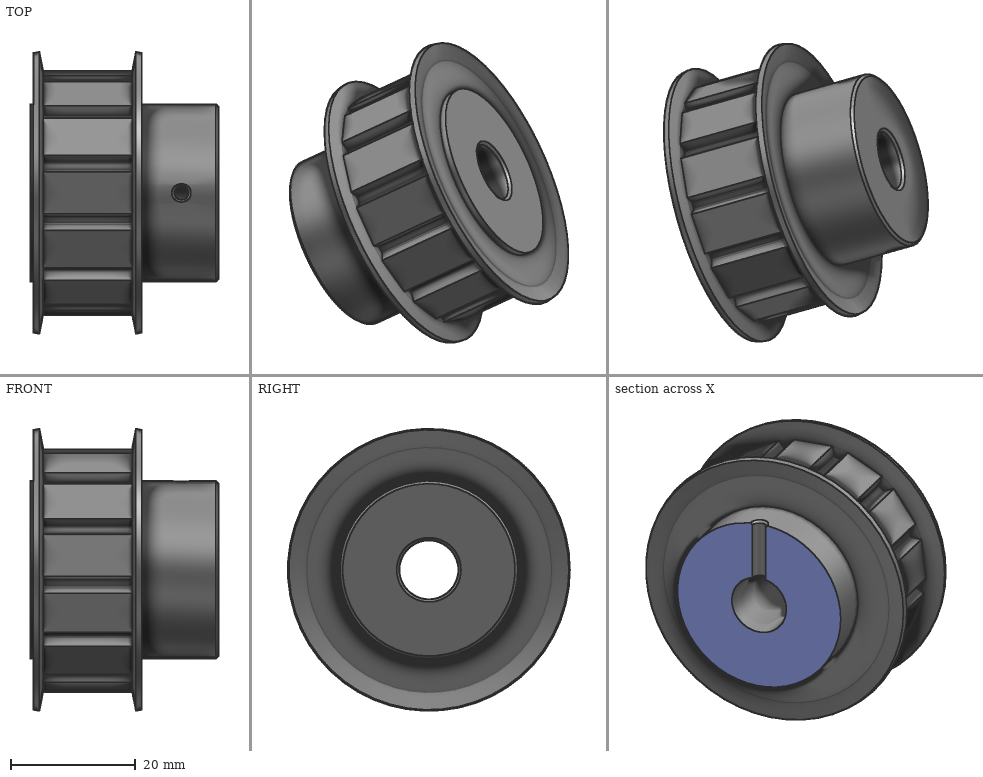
import cadquery as cq
import math

total_length = 30.18
tooth_start = 2.05
tooth_width = 14.3
tooth_end = tooth_start + tooth_width

hub_radius = 14.25
hub_chamfer = 0.45
bore_radius = 4.7
bore_chamfer = 0.45

tooth_count = 13
tip_corner_radius = 19.65
groove_floor_radius = 17.9
groove_floor_half_width = 0.6
groove_flank_angle = 25.0
groove_fillet = 0.295

flange_radius = 22.6
flange_thickness = 1.0
bend_radius = 19.65
bend_angle = 11.0

screw_x = 24.2
screw_hole_radius = 1.15
screw_countersink_radius = 1.55


def cylinder_x(start, end, radius):
    """Cylinder around the X axis between two X positions."""
    return cq.Workplane("YZ", origin=(start, 0, 0)).circle(radius).extrude(end - start)


def revolve_x(points):
    """Turn a closed (x, radius) outline around the X axis."""
    return cq.Workplane("XY").polyline(points).close().revolve(360, (0, 0, 0), (1, 0, 0))


def make_hub():
    """Full-length core, bevelled at its hub end."""
    core = cylinder_x(0, total_length, hub_radius)
    return core.faces(">X").chamfer(hub_chamfer)


def make_toothed_rim():
    """Polygonal rim with one flat per tooth and a rounded-floor groove between teeth."""
    flank_slope = math.tan(math.radians(groove_flank_angle))
    pitch_angle = 360 / tooth_count

    corner_half_width = groove_floor_half_width + (tip_corner_radius - groove_floor_radius) * flank_slope
    groove_half_angle = math.degrees(math.asin(corner_half_width / tip_corner_radius))
    tooth_half_angle = pitch_angle / 2 - groove_half_angle

    corners = []
    for tooth in range(tooth_count):
        for side in (-1, 1):
            angle = math.radians(90 + tooth * pitch_angle + side * tooth_half_angle)
            corners.append((tip_corner_radius * math.cos(angle), tip_corner_radius * math.sin(angle)))
    rim = cq.Workplane("YZ", origin=(tooth_start, 0, 0)).polyline(corners).close().extrude(tooth_width)

    cutter_top = flange_radius
    top_half_width = groove_floor_half_width + (cutter_top - groove_floor_radius) * flank_slope
    cutter = (
        cq.Workplane("YZ", origin=(tooth_start, 0, 0))
        .polyline([
            (-groove_floor_half_width, groove_floor_radius),
            (groove_floor_half_width, groove_floor_radius),
            (top_half_width, cutter_top),
            (-top_half_width, cutter_top),
        ])
        .close()
        .extrude(tooth_width)
        .edges("|X and <Z")
        .fillet(groove_fillet)
    )
    for groove in range(tooth_count):
        rim = rim.cut(cutter.rotate((0, 0, 0), (1, 0, 0), (groove + 0.5) * pitch_angle))
    return rim


def make_flange(inner_face, outward):
    """Bent disc; inner_face is its X on the tooth side, outward is -1 or +1 along X."""
    bend = math.radians(bend_angle)
    outer_face = inner_face + outward * flange_thickness
    rim_inner_x = inner_face + outward * (flange_radius - bend_radius) * math.tan(bend)
    rim_outer_x = rim_inner_x + outward * flange_thickness * math.cos(bend)
    rim_outer_radius = flange_radius - flange_thickness * math.sin(bend)
    return revolve_x([
        (inner_face, 0),
        (inner_face, bend_radius),
        (rim_inner_x, flange_radius),
        (rim_outer_x, rim_outer_radius),
        (outer_face, bend_radius),
        (outer_face, 0),
    ])


def make_bore():
    """Through bore cutter, bevelled outward at both ends."""
    mouth_radius = bore_radius + bore_chamfer
    return revolve_x([
        (0, 0),
        (0, mouth_radius),
        (bore_chamfer, bore_radius),
        (total_length - bore_chamfer, bore_radius),
        (total_length, mouth_radius),
        (total_length, 0),
    ])


def make_screw_hole():
    """Radial hole cutter with a 90 degree countersink at the hub surface."""
    countersink_depth = screw_countersink_radius - screw_hole_radius
    return (
        cq.Workplane("XZ", origin=(screw_x, 0, 0))
        .polyline([
            (0, 0),
            (screw_hole_radius, 0),
            (screw_hole_radius, hub_radius - countersink_depth),
            (screw_countersink_radius, hub_radius),
            (0, hub_radius),
        ])
        .close()
        .revolve(360, (0, 0, 0), (0, 1, 0))
    )


pulley = make_hub().union(make_toothed_rim())
pulley = pulley.union(make_flange(tooth_start, -1))
pulley = pulley.union(make_flange(tooth_end, 1))
result = pulley.cut(make_bore()).cut(make_screw_hole())